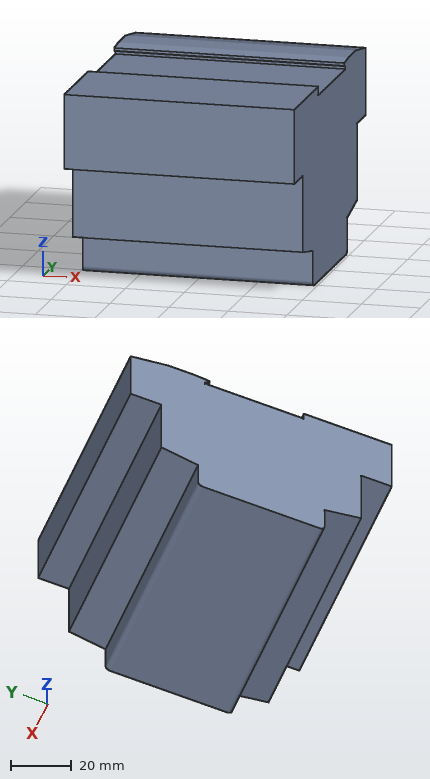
import cadquery as cq

WIDTH = 78.0
DEPTH = 93.0
HEIGHT = 66.0

HEAD_HALF = DEPTH / 2
BODY_HALF = 35.5
FOOT_HALF = 22.5
FOOT_RADIUS = 1.9

HEAD_BOTTOM_Z = 40.8
BODY_BOTTOM_Z = 15.0
FOOT_TOP_Z = 12.1

RECESS_DEPTH = 3.0
RECESS_FRONT_Y = -15.2
RECESS_BACK_Y = 19.9

BACK_EDGE_DROP = 2.4
CROWN_BACK_Y = 33.0
CROWN_FRONT_Y = 23.9
LIP_FRONT_Y = 18.4
LIP_DROP = 0.6
LIP_THICKNESS = 0.9
LIP_UNDERCUT_DROP = 2.0

recess_floor_z = HEIGHT - RECESS_DEPTH
lip_top_z = HEIGHT - LIP_DROP

top_outline = [
    (-HEAD_HALF, HEIGHT),
    (RECESS_FRONT_Y, HEIGHT),
    (RECESS_FRONT_Y, recess_floor_z),
    (RECESS_BACK_Y, recess_floor_z),
    (RECESS_BACK_Y, HEIGHT - LIP_UNDERCUT_DROP),
    (LIP_FRONT_Y, lip_top_z - LIP_THICKNESS),
    (LIP_FRONT_Y, lip_top_z),
    (CROWN_FRONT_Y, HEIGHT),
    (CROWN_BACK_Y, HEIGHT),
    (HEAD_HALF, HEIGHT - BACK_EDGE_DROP),
]

rear_underside = [
    (HEAD_HALF, HEAD_BOTTOM_Z),
    (BODY_HALF, HEAD_BOTTOM_Z),
    (BODY_HALF, BODY_BOTTOM_Z),
    (FOOT_HALF, FOOT_TOP_Z),
    (FOOT_HALF, 0),
]
front_underside = [(-y, z) for y, z in reversed(rear_underside)]

housing = (
    cq.Workplane("YZ")
    .polyline(top_outline + rear_underside + front_underside)
    .close()
    .extrude(WIDTH / 2, both=True)
)

result = housing.faces("<Z").edges("|X").fillet(FOOT_RADIUS)